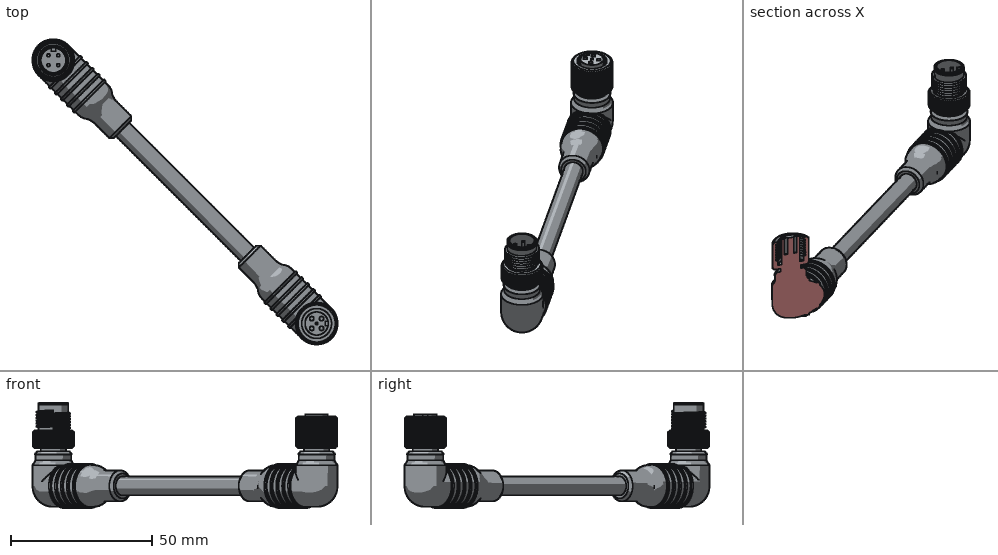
import cadquery as cq
import math


overall_span = 108.0
body_radius = 7.5
rib_radius = 7.9
cable_radius = 3.3
axis_offset = overall_span / 2 - body_radius
axis_distance = 2 * math.sqrt(2) * axis_offset
overlap = 0.2

boot_body_end = 20.1
shoulder_end = 23.3
shoulder_radius = 6.2
shoulder_mid = (22.0, 7.0)
sleeve_start = 25.9
sleeve_end = 34.6
sleeve_radius = 5.5
throat_mid = (24.6, 5.7)
sleeve_chamfer = 1.1
rib_count = 5
rib_first = 6.0
rib_last = 17.9
rib_pitch = (rib_last - rib_first) / (rib_count - 1)
rib_width = 0.9

body_top = 7.3
flare_top = 8.2
flare_radius = 6.8
collar_radius = 6.4
collar_bottom = 9.1
lip_radius = 6.6
lip_height = 11.2
lip_flare_height = 0.2
collar_top = 12.3
collar_top_radius = 5.6
neck_radius = 4.5

nut_bottom = 13.4
nut_radius = 7.3
nut_edge_chamfer = 0.8
knurl_count = 64
knurl_depth = 0.3
male_nut_top = 19.7
female_nut_top = 24.6
female_nut_floor = 15.1

thread_pitch = 1.0
thread_major_radius = 6.0
thread_minor_radius = 5.3
thread_crest = 0.13
thread_root = 0.9
thread_bury = 0.1
male_thread_bottom = 20.3
male_thread_turns = 6
female_thread_bottom = 16.7
female_groove_count = 7

male_top = 29.5
male_bore_radius = 4.4
male_rim_chamfer = 0.3
male_rim_groove = 28.6
male_rim_groove_width = 0.3
male_rim_groove_depth = 0.16
male_floor = 21.0
pin_radius = 0.5
pin_top = 27.6
contact_offset = 1.7
key_width = 1.5
key_inner = 3.1
key_top = 28.1
insert_radius = 4.1
insert_top = 25.4
socket_radius = 0.8
center_socket_radius = 0.4
socket_depth = 6.5
keyway_width = 1.7
keyway_depth = 1.0

CONTACTS = [(sx * contact_offset, sy * contact_offset) for sx in (-1, 1) for sy in (-1, 1)]


def disc(radius, bottom, top):
    return cq.Workplane("XY").workplane(offset=bottom).circle(radius).extrude(top - bottom)


def box(x_range, y_range, z_range):
    (x0, x1), (y0, y1), (z0, z1) = x_range, y_range, z_range
    return cq.Workplane("XY").box(x1 - x0, y1 - y0, z1 - z0, centered=False).translate((x0, y0, z0))


def boot():
    """Ribbed grip and strain-relief sleeve, turned about the X axis."""
    turned = (
        cq.Workplane("XY")
        .lineTo(0, body_radius)
        .lineTo(boot_body_end, body_radius)
        .threePointArc(shoulder_mid, (shoulder_end, shoulder_radius))
        .threePointArc(throat_mid, (sleeve_start, sleeve_radius))
        .lineTo(sleeve_end - sleeve_chamfer, sleeve_radius)
        .lineTo(sleeve_end, sleeve_radius - sleeve_chamfer)
        .lineTo(sleeve_end, 0)
        .close()
        .revolve(360, (0, 0, 0), (1, 0, 0))
    )
    for i in range(rib_count):
        start = rib_first + i * rib_pitch - rib_width / 2
        rib = cq.Workplane("YZ").workplane(offset=start).circle(rib_radius).extrude(rib_width)
        turned = turned.union(rib)
    return turned


def upright():
    """Upright barrel of the housing with its flare, collar and neck."""
    return (
        cq.Workplane("XZ")
        .lineTo(body_radius, 0)
        .lineTo(body_radius, body_top)
        .lineTo(flare_radius, flare_top)
        .lineTo(collar_radius, collar_bottom)
        .lineTo(collar_radius, lip_height - lip_flare_height)
        .lineTo(lip_radius, lip_height)
        .lineTo(collar_top_radius, collar_top)
        .lineTo(neck_radius, collar_top)
        .lineTo(neck_radius, nut_bottom + overlap)
        .lineTo(0, nut_bottom + overlap)
        .close()
        .revolve(360, (0, 0, 0), (0, 1, 0))
    )


def housing(cable_angle):
    """Elbow housing; cable_angle is the direction in which the cable leaves."""
    elbow = cq.Workplane("XY").sphere(body_radius)
    return boot().union(elbow).union(upright()).rotate((0, 0, 0), (0, 0, 1), cable_angle)


def knurled_nut(top):
    """Solid nut blank with V-shaped knurls and chamfered ends."""
    points = []
    for i in range(2 * knurl_count):
        radius = nut_radius if i % 2 == 0 else nut_radius - knurl_depth
        angle = math.pi * i / knurl_count
        points.append((radius * math.cos(angle), radius * math.sin(angle)))
    blank = disc(nut_radius, nut_bottom, top).edges().chamfer(nut_edge_chamfer)
    outline = cq.Workplane("XY").workplane(offset=nut_bottom).polyline(points).close()
    return outline.extrude(top - nut_bottom).intersect(blank)


def male_thread():
    """Right-hand helical ridge that starts and ends on the -Y side."""
    thread_depth = thread_major_radius - thread_minor_radius
    buried_radius = thread_minor_radius - thread_bury
    buried_width = thread_root + (thread_root - thread_crest) * thread_bury / thread_depth
    path = cq.Wire.makeHelix(thread_pitch, male_thread_turns * thread_pitch, thread_minor_radius)
    ridge = (
        cq.Workplane("XZ")
        .moveTo(buried_radius, -buried_width / 2)
        .lineTo(thread_major_radius, -thread_crest / 2)
        .lineTo(thread_major_radius, thread_crest / 2)
        .lineTo(buried_radius, buried_width / 2)
        .close()
        .sweep(cq.Workplane(obj=path), isFrenet=True)
    )
    return ridge.rotate((0, 0, 0), (0, 0, 1), -90).translate((0, 0, male_thread_bottom))


def male_plug():
    """Threaded tube with four pins and a coding key on the +Y side."""
    tube = disc(thread_minor_radius, nut_bottom, male_top)
    groove = disc(thread_minor_radius, male_rim_groove, male_rim_groove + male_rim_groove_width)
    groove = groove.cut(disc(thread_minor_radius - male_rim_groove_depth, male_rim_groove, male_top))
    bore = disc(male_bore_radius, male_floor, male_top)
    key = box(
        (-key_width / 2, key_width / 2),
        (key_inner, male_bore_radius + overlap),
        (male_floor - overlap, key_top),
    )
    pins = (
        cq.Workplane("XY")
        .workplane(offset=male_floor - overlap)
        .pushPoints(CONTACTS)
        .circle(pin_radius)
        .extrude(pin_top - male_floor + overlap)
    )
    tube = tube.faces(">Z").edges().chamfer(male_rim_chamfer).cut(groove).cut(bore).union(key).union(pins)
    return tube.union(male_thread()).union(knurled_nut(male_nut_top))


def female_thread_cavity():
    """Bore of the female nut, its thread simplified to level V-shaped grooves."""
    outline = cq.Workplane("XZ").moveTo(0, female_nut_floor).lineTo(thread_minor_radius, female_nut_floor)
    for i in range(female_groove_count):
        groove_bottom = female_thread_bottom + i * thread_pitch
        outline = (
            outline.lineTo(thread_minor_radius, groove_bottom + thread_crest)
            .lineTo(thread_major_radius, groove_bottom + thread_pitch / 2)
            .lineTo(thread_minor_radius, groove_bottom + thread_pitch)
        )
    outline = outline.lineTo(thread_minor_radius, female_nut_top).lineTo(0, female_nut_top)
    return outline.close().revolve(360, (0, 0, 0), (0, 1, 0))


def female_plug():
    """Internally grooved nut around a socket insert keyed on the +X side."""
    nut = knurled_nut(female_nut_top).cut(female_thread_cavity())
    insert = disc(insert_radius, female_nut_floor - overlap, insert_top)
    socket_bottom = insert_top - socket_depth
    keyway = box(
        (insert_radius - keyway_depth, insert_radius + overlap),
        (-keyway_width / 2, keyway_width / 2),
        (socket_bottom, insert_top),
    )
    top_face = insert.faces(">Z").workplane(origin=(0, 0, insert_top))
    insert = top_face.pushPoints(CONTACTS).hole(2 * socket_radius, socket_depth)
    insert = insert.cut(disc(center_socket_radius, socket_bottom, insert_top)).cut(keyway)
    return nut.union(insert)


def cable():
    """Round cable along X, between the two plug axes."""
    return cq.Workplane("YZ").circle(cable_radius).extrude(axis_distance)


male_end = housing(-45).union(male_plug()).translate((-axis_offset, axis_offset, 0))
female_end = housing(135).union(female_plug()).translate((axis_offset, -axis_offset, 0))
cable_run = cable().rotate((0, 0, 0), (0, 0, 1), -45).translate((-axis_offset, axis_offset, 0))

result = male_end.union(female_end).union(cable_run)